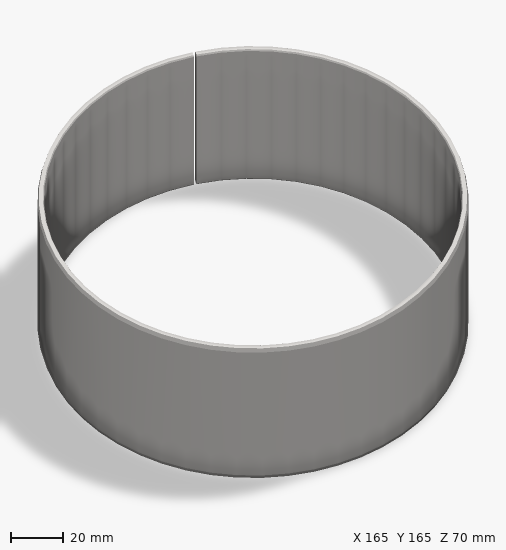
import cadquery as cq

outer_diameter = 165.0
wall = 2.5
height = 70.0
gap_width = 1.2

outer_bevel_height = 1.8
outer_bevel_depth = 0.5
inner_bevel_height = 0.7
inner_bevel_depth = 0.3

outer_radius = outer_diameter / 2
inner_radius = outer_radius - wall
half_height = height / 2


def sleeve():
    """Tube with the outer and inner edges of both rims bevelled."""
    outer_shoulder = half_height - outer_bevel_height
    inner_shoulder = half_height - inner_bevel_height
    rim_outer_radius = outer_radius - outer_bevel_depth
    rim_inner_radius = inner_radius + inner_bevel_depth
    wall_section = [
        (inner_radius, -inner_shoulder),
        (rim_inner_radius, -half_height),
        (rim_outer_radius, -half_height),
        (outer_radius, -outer_shoulder),
        (outer_radius, outer_shoulder),
        (rim_outer_radius, half_height),
        (rim_inner_radius, half_height),
        (inner_radius, inner_shoulder),
    ]
    return cq.Workplane("XZ").polyline(wall_section).close().revolve(360, (0, 0), (0, 1))


def gap():
    """Full-height slit through the wall on the -X side, with one face on the XZ plane."""
    slit = cq.Workplane("XY").box(outer_radius, gap_width, height)
    return slit.translate((-outer_radius, gap_width / 2, 0))


result = sleeve().cut(gap())